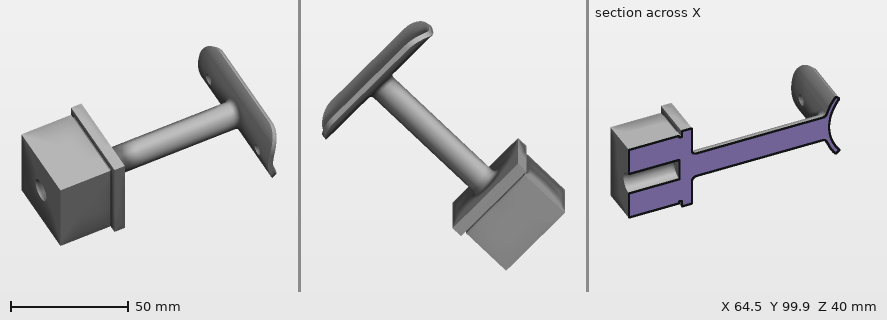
import cadquery as cq
import math

plug_side = 35.9
plug_length = 24.0
groove_side = 33.9
groove_width = 1.0
flange_side = 40.0
flange_thickness = 5.0
bore_diameter = 10.0
bore_depth = plug_length

post_diameter = 12.2
weld_fillet = 2.0

total_length = 99.85
saddle_length = 64.5
rail_radius = 21.2
saddle_thickness = 2.5
saddle_half_angle = math.radians(39.9)
saddle_corner_radius = 10.0
screw_hole_diameter = 5.0
screw_hole_spacing = 44.9

flange_start = plug_length + groove_width
post_start = flange_start + flange_thickness
saddle_radius = rail_radius + saddle_thickness
rail_axis_y = total_length + rail_radius * math.cos(saddle_half_angle)
saddle_front_y = rail_axis_y - saddle_radius


def plane_at(y):
    """Plane across the Y axis, facing +Y."""
    return cq.Workplane(cq.Plane(origin=(0, y, 0), xDir=(1, 0, 0), normal=(0, 1, 0)))


def square_block(side, start, length):
    return plane_at(start).rect(side, side).extrude(length)


def arc_point(radius, angle):
    """Point (y, z) at an angle from the saddle's lowest line."""
    return rail_axis_y - radius * math.cos(angle), radius * math.sin(angle)


def make_saddle():
    """Part of a tube with radial end faces and rounded corners."""
    return (
        cq.Workplane("YZ")
        .moveTo(*arc_point(saddle_radius, -saddle_half_angle))
        .threePointArc(arc_point(saddle_radius, 0), arc_point(saddle_radius, saddle_half_angle))
        .lineTo(*arc_point(rail_radius, saddle_half_angle))
        .threePointArc(arc_point(rail_radius, 0), arc_point(rail_radius, -saddle_half_angle))
        .close()
        .extrude(saddle_length / 2, both=True)
        .faces("<X or >X")
        .edges("%LINE")
        .fillet(saddle_corner_radius)
    )


def make_post():
    """Post with its far end shaped to the outer curve of the saddle."""
    post_end = saddle_front_y + saddle_thickness / 2
    post = plane_at(post_start).circle(post_diameter / 2).extrude(post_end - post_start)
    rail = cq.Workplane("YZ").center(rail_axis_y, 0).circle(saddle_radius)
    return post.cut(rail.extrude(saddle_length / 2, both=True))


def weld_edges(body):
    """Fillet both rims where the post meets the flange and the saddle."""
    reach = post_diameter / 2 + weld_fillet
    rims = cq.selectors.BoxSelector(
        (-reach, post_start - weld_fillet, -reach),
        (reach, saddle_front_y + weld_fillet, reach),
        boundingbox=True,
    )
    seams = cq.selectors.ParallelDirSelector(cq.Vector(0, 1, 0))
    return body.edges(rims - seams).fillet(weld_fillet)


plug = square_block(plug_side, 0, plug_length)
groove = square_block(groove_side, plug_length, groove_width)
flange = square_block(flange_side, flange_start, flange_thickness)
bore = plane_at(0).circle(bore_diameter / 2).extrude(bore_depth)
screw_holes = (
    plane_at(saddle_front_y)
    .pushPoints([(-screw_hole_spacing / 2, 0), (screw_hole_spacing / 2, 0)])
    .circle(screw_hole_diameter / 2)
    .extrude(total_length - saddle_front_y)
)

body = plug.union(groove).union(flange).union(make_post()).union(make_saddle())
result = weld_edges(body).cut(bore).cut(screw_holes)